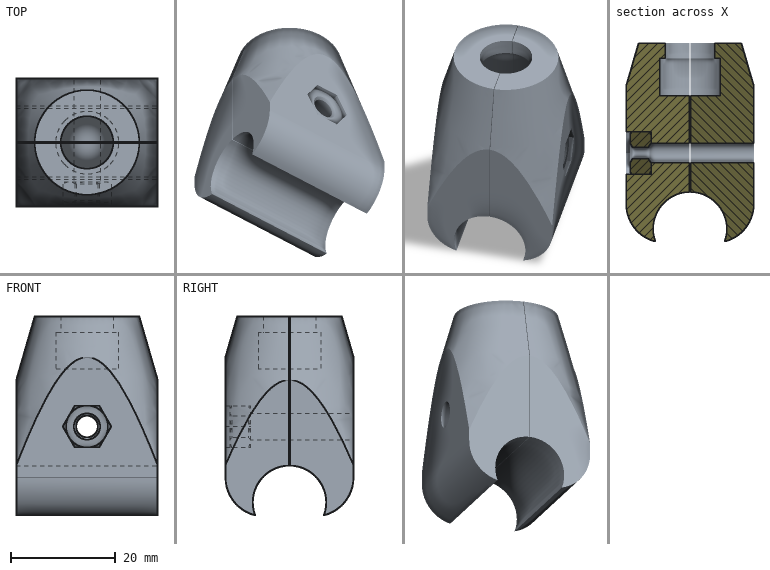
import cadquery as cq
import math

width = 27.0
depth = 24.5
height = 38.0

split_gap = 0.1

top_radius = 10.0
base_radius = 21.0

side_radius = 7.52
side_center_y = depth / 2 - side_radius
saddle_radius = 7.0
saddle_center_z = 2.5
saddle_tip_y = math.sqrt(saddle_radius**2 - saddle_center_z**2)
saddle_top_z = saddle_center_z + saddle_radius
side_center_z = math.sqrt(side_radius**2 - (saddle_tip_y - side_center_y)**2)

mouth_radius = 5.0
mouth_depth = 3.0
chamber_radius = 6.0
chamber_depth = 7.0

screw_z = 17.0
screw_radius = 2.5
nut_flats = 8.0
nut_corners = nut_flats / math.cos(math.pi / 6)
nut_thickness = 4.0
nut_recess = 0.8
nut_bore_radius = 2.05
nut_bore_chamfer = screw_radius - nut_bore_radius
nut_chamfer_angle = math.radians(30)

front_y = -depth / 2
nut_front_y = front_y + nut_recess
nut_back_y = nut_front_y + nut_thickness


def along_y(start_y):
    """Workplane centred on the screw axis, facing +Y, with its X axis along the part's X."""
    return cq.Workplane(cq.Plane((0, start_y, screw_z), (1, 0, 0), (0, 1, 0)))


def hexagon(start_y, end_y):
    return along_y(start_y).polygon(6, nut_corners).extrude(end_y - start_y)


def clamp_profile():
    """Side outline in Y and Z, including the saddle, extruded across the width."""
    diagonal = math.sqrt(0.5) * side_radius
    mid_y = side_center_y + diagonal
    mid_z = side_center_z - diagonal
    return (
        cq.Workplane("YZ")
        .moveTo(-depth / 2, height)
        .lineTo(-depth / 2, side_center_z)
        .threePointArc((-mid_y, mid_z), (-saddle_tip_y, 0))
        .threePointArc((0, saddle_top_z), (saddle_tip_y, 0))
        .threePointArc((mid_y, mid_z), (depth / 2, side_center_z))
        .lineTo(depth / 2, height)
        .close()
        .extrude(width / 2, both=True)
    )


def socket():
    mouth = cq.Workplane("XY").workplane(offset=height).circle(mouth_radius).extrude(-mouth_depth)
    chamber = (
        cq.Workplane("XY")
        .workplane(offset=height - mouth_depth)
        .circle(chamber_radius)
        .extrude(-chamber_depth)
    )
    return mouth.union(chamber)


def whole_clamp():
    cone = cq.Workplane(cq.Solid.makeCone(base_radius, top_radius, height))
    screw_hole = along_y(front_y).circle(screw_radius).extrude(depth)
    nut_pocket = hexagon(front_y, nut_back_y)
    return clamp_profile().intersect(cone).cut(socket()).cut(screw_hole).cut(nut_pocket)


def clamp_half(side):
    """Half of the clamp on the -Y (side = -1) or +Y (side = 1) side of the split plane."""
    half_depth = (depth - split_gap) / 2
    center_y = side * (split_gap + half_depth) / 2
    half_space = cq.Workplane("XY").box(width, half_depth, height, centered=(True, True, False))
    return whole_clamp().intersect(half_space.translate((0, center_y, 0)))


def make_nut():
    """Hexagon nut with its corners and the ends of its bore chamfered on both faces."""
    rim_radius = nut_flats / 2
    corner_radius = nut_corners / 2
    corner_drop = (corner_radius - rim_radius) * math.tan(nut_chamfer_angle)
    turned_shape = (
        cq.Workplane("XY")
        .moveTo(nut_bore_radius, nut_front_y + nut_bore_chamfer)
        .lineTo(screw_radius, nut_front_y)
        .lineTo(rim_radius, nut_front_y)
        .lineTo(corner_radius, nut_front_y + corner_drop)
        .lineTo(corner_radius, nut_back_y - corner_drop)
        .lineTo(rim_radius, nut_back_y)
        .lineTo(screw_radius, nut_back_y)
        .lineTo(nut_bore_radius, nut_back_y - nut_bore_chamfer)
        .close()
        .revolve(360, (0, 0, 0), (0, 1, 0))
        .translate((0, 0, screw_z))
    )
    return hexagon(nut_front_y, nut_back_y).intersect(turned_shape)


clamp_halves = [clamp_half(side) for side in (-1, 1)]
nut = make_nut()

result = cq.Compound.makeCompound([*[half.val() for half in clamp_halves], nut.val()])